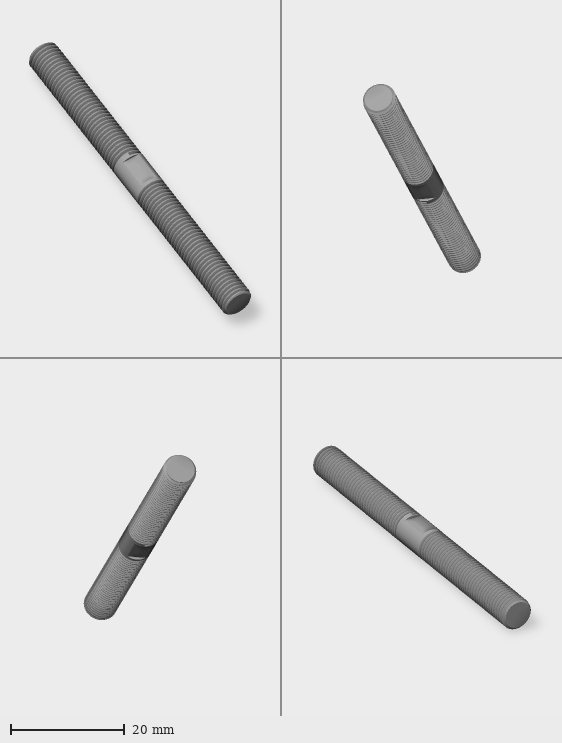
import cadquery as cq
import math

length = 65.0
radius = 3.0
end_chamfer = 0.49

pitch = 10.4 / 13
thread_length = 28.85
thread_depth = 0.435
crest_flat = pitch / 8
half_thread_angle = math.radians(30)

turns_per_section = 5
section_length = turns_per_section * pitch
section_count = math.ceil((thread_length + pitch) / section_length)
cutter_overshoot = 0.1

flat_length = 6.0
across_flats = 5.0

origin = (0, 0, 0)
y_axis = (0, 1, 0)


def make_half_rod():
    """Plain rod from the middle to the -X end, chamfered there."""
    rod = cq.Workplane("YZ").circle(radius).extrude(-length / 2)
    return rod.faces("<X").chamfer(end_chamfer)


def make_flat_cutter(side):
    """Block that leaves one flat, on the +Z side (side = 1) or the -Z side (side = -1)."""
    block = cq.Workplane("XY").box(flat_length, 2 * radius, radius)
    return block.translate((0, 0, side * (across_flats + radius) / 2))


def make_groove_section():
    """First section of the helical groove: from the band, on the +Z side, towards the -X end."""
    flank_slope = math.tan(half_thread_angle)
    half_mouth = (pitch - crest_flat) / 2
    half_root = half_mouth - thread_depth * flank_slope
    half_outer = half_mouth + cutter_overshoot * flank_slope
    root_radius = radius - thread_depth
    outer_radius = radius + cutter_overshoot
    profile = (
        cq.Workplane("XZ")
        .moveTo(outer_radius, -half_outer)
        .lineTo(outer_radius, half_outer)
        .lineTo(root_radius, half_root)
        .lineTo(root_radius, -half_root)
        .close()
    )
    helix = cq.Wire.makeHelix(pitch, section_length, radius)
    section = profile.sweep(cq.Workplane(helix), isFrenet=True)
    band_end = thread_length - length / 2
    return section.rotate(origin, y_axis, -90).translate((band_end, 0, 0))


def make_half_stud():
    """The -X half: rod, its share of both flats, and the thread groove."""
    half = make_half_rod()
    for side in (1, -1):
        half = half.cut(make_flat_cutter(side))
    first = make_groove_section()
    sections = [first.translate((-i * section_length, 0, 0)).val() for i in range(section_count)]
    return cq.Workplane(half.val().cut(*sections))


half_stud = make_half_stud()
other_half = half_stud.rotate(origin, y_axis, 180)
result = cq.Workplane(half_stud.union(other_half).solids().val())